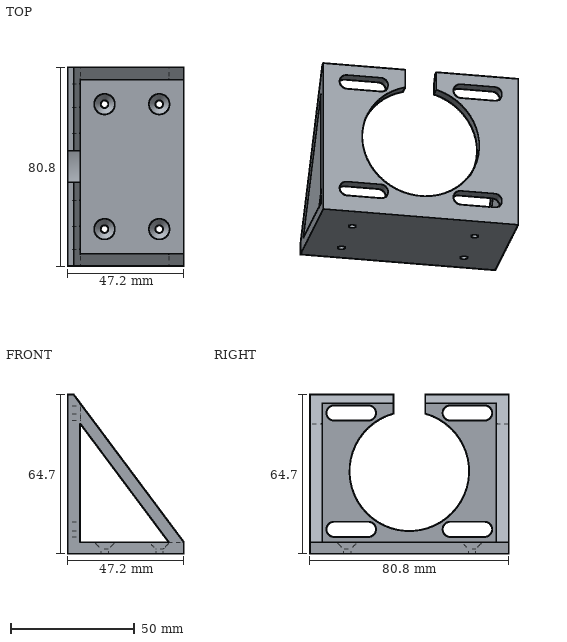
import cadquery as cq

depth = 47.2
width = 80.8
height = 64.7

wall = 5.0
top_land = 2.4
base_thickness = 4.8

window_length = 35.95
window_height = 48.15

bore_diameter = 48.5
bore_height = 33.5
gap_width = 12.8

slot_length = 20.0
slot_width = 6.1
slot_offset = 23.6
slot_heights = (9.9, 57.2)

screw_diameter = 3.0
countersink_diameter = 8.4
countersink_angle = 90
screw_depths = (14.95, 37.2)
screw_offset = 25.4


def side_profile(points, thickness):
    """Extrude an XZ outline symmetrically about the middle of the width."""
    return cq.Workplane("XZ").polyline(points).close().extrude(thickness / 2, both=True)


def make_bracket():
    """Upright plate, base plate and two triangular ribs under one sloping face."""
    outline = [(0, 0), (depth, 0), (depth, base_thickness), (top_land, height), (0, height)]
    window = [
        (wall, base_thickness),
        (wall + window_length, base_thickness),
        (wall, base_thickness + window_height),
    ]
    body = side_profile(outline, width)
    inside = (
        cq.Workplane("XY")
        .box(depth, width - 2 * wall, height, centered=(False, True, False))
        .translate((wall, 0, base_thickness))
    )
    return body.cut(inside).cut(side_profile(window, width))


def make_bore():
    """Round bore through the upright plate, open to the top edge."""
    bore = cq.Workplane("YZ").center(0, bore_height).circle(bore_diameter / 2).extrude(wall)
    gap = (
        cq.Workplane("XY")
        .box(wall, gap_width, height - bore_height, centered=(False, True, False))
        .translate((0, 0, bore_height))
    )
    return bore.union(gap)


def make_slots():
    """Four horizontal slots through the upright plate."""
    centres = [(side * slot_offset, z) for side in (-1, 1) for z in slot_heights]
    return cq.Workplane("YZ").pushPoints(centres).slot2D(slot_length, slot_width).extrude(wall)


def add_screw_holes(body):
    """Countersink four screw holes into the upper face of the base plate."""
    centres = [(x, side * screw_offset) for x in screw_depths for side in (-1, 1)]
    return (
        body.copyWorkplane(cq.Workplane("XY", origin=(0, 0, base_thickness)))
        .pushPoints(centres)
        .cskHole(screw_diameter, countersink_diameter, countersink_angle, depth=base_thickness)
    )


result = add_screw_holes(make_bracket().cut(make_bore()).cut(make_slots()))